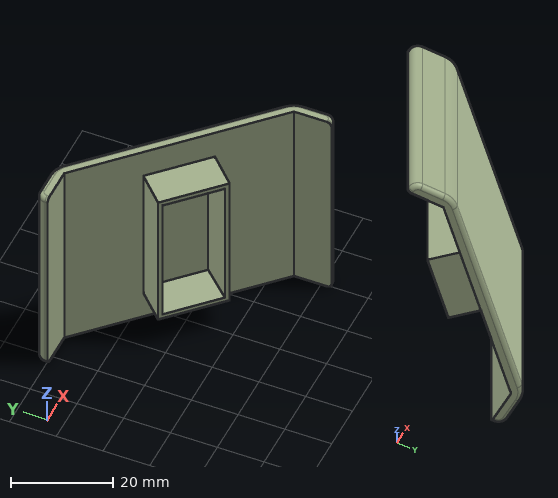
import cadquery as cq
import math

span = 44.5
height = 45.0
thickness = 2.5
flange_length = 8.0
bend_radius = 5.0
tip_radius = 2.0
rim_radius = 1.0

block_width = 15.0
block_height = 32.0
block_depth = 8.0
side_wall = 1.0
end_wall = 1.12
pocket_draft = 3.0

half = span / 2
inner_bend = (-half + flange_length, half - thickness)
web_offset = (inner_bend[0] + inner_bend[1]) / math.sqrt(2)
outer_bend_x = inner_bend[0] + thickness * math.tan(math.radians(22.5))


def make_plate():
    """Extruded plate with rounded bends, tips and outer rims."""
    tip = (-half, half)
    outer_bend = (outer_bend_x, half)
    half_outline = [inner_bend, (-half, half - thickness), tip, outer_bend]
    mirrored = [(y, x) for x, y in reversed(half_outline)]
    plate = (
        cq.Workplane("XY")
        .workplane(offset=-height / 2)
        .polyline(half_outline + mirrored)
        .close()
        .extrude(height)
    )

    def round_vertical_edges(body, point, radius):
        for x, y in (point, point[::-1]):
            nearest = cq.selectors.NearestToPointSelector((x, y, 0))
            body = body.edges("|Z").edges(nearest).fillet(radius)
        return body

    plate = round_vertical_edges(plate, outer_bend, bend_radius)
    plate = round_vertical_edges(plate, tip, tip_radius)

    inner_edge_centers = [
        (inner_bend[0] - flange_length / 2, inner_bend[1]),
        (sum(inner_bend) / 2, sum(inner_bend) / 2),
        (inner_bend[1], inner_bend[0] - flange_length / 2),
    ]
    rims = plate.faces("<Z or >Z").edges()
    for x, y in inner_edge_centers:
        for z in (-height / 2, height / 2):
            inner_edge = plate.edges(cq.selectors.NearestToPointSelector((x, y, z)))
            rims = rims.filter(lambda edge, skip=inner_edge.val(): not edge.isSame(skip))
    return rims.fillet(rim_radius)


def web_plane(distance):
    """Plane parallel to the web, facing -X -Y, at a distance from its inner face."""
    coordinate = (web_offset - distance) / math.sqrt(2)
    return cq.Plane(origin=(coordinate, coordinate, 0), xDir=(1, -1, 0), normal=(-1, -1, 0))


def make_block():
    return cq.Workplane(web_plane(0)).rect(block_width, block_height).extrude(block_depth)


def make_pocket():
    """Drafted pocket, open at the block face and ending at the web."""
    return (
        cq.Workplane(web_plane(block_depth))
        .rect(block_width - 2 * side_wall, block_height - 2 * end_wall)
        .extrude(-block_depth, taper=pocket_draft)
    )


result = make_plate().union(make_block()).cut(make_pocket())